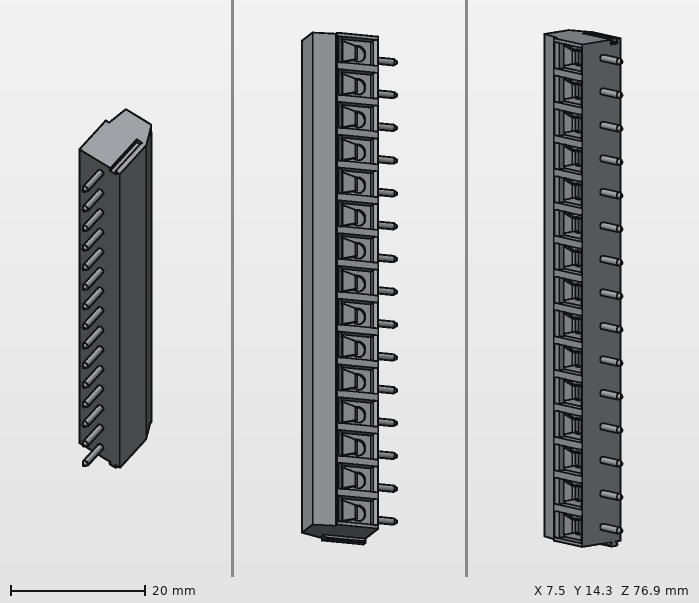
import cadquery as cq
import math

overall_length = 76.9
pole_count = 15
block_width = 7.5
overall_depth = 14.3
block_depth = 10.0

rib_height = 0.66
rib_widest_height = 0.45
rib_neck_width = 0.9
rib_widest_width = 1.4
rib_tip_width = 1.0
rib_offset_x = 2.45
groove_clearance = 0.1

shoulder_drop = 3.45
ledge_width = 0.6
wire_side_setback = 1.15
screw_side_setback = 1.6

ridge_height = 0.2
ridge_start_drop = 0.2
ridge_crest_drop = 0.8
ridge_end_drop = 1.7
ridge_end_gap = 0.6

pocket_height = 4.0
pocket_mouth_depth_y = 6.2
pocket_base_gap = 0.1
bevel_width = 0.6
bevel_angle = 30.0
pocket_wall_depth = 1.1

wire_hole_radius = 1.2
wire_hole_depth = 0.4
wire_hole_from_base = 2.8
wedge_rise = 0.5
wedge_back_slope_width = 0.4
wedge_front_slope_width = 0.45
wedge_length = 2.8
wedge_back_height = 3.15
wedge_front_height = 1.85

pin_radius = 0.5
pin_tip_radius = 0.19
pin_tip_length = 0.5
pin_offset_x = 0.2

half_width = block_width / 2
block_top_y = overall_depth / 2
block_base_y = block_top_y - block_depth
pin_end_y = -overall_depth / 2
shoulder_y = block_top_y - shoulder_drop
end_top_z = overall_length / 2
end_bottom_z = -overall_length / 2 + rib_height
block_length = end_top_z - end_bottom_z
pitch = block_length / pole_count
pole_centres = [end_bottom_z + (i + 0.5) * pitch for i in range(pole_count)]

bevel_depth = bevel_width * math.tan(math.radians(bevel_angle))
pocket_low_y = block_base_y + pocket_base_gap
pocket_high_y = pocket_low_y + pocket_mouth_depth_y
bevel_x = -half_width + bevel_depth
floor_x = bevel_x + pocket_wall_depth
wire_hole_y = block_base_y + wire_hole_from_base


def housing():
    """Prism with a narrowed upper part and a ledge on the wire side."""
    outline = [
        (-half_width, block_base_y),
        (half_width, block_base_y),
        (half_width, shoulder_y),
        (half_width - screw_side_setback, block_top_y),
        (-half_width + wire_side_setback, block_top_y),
        (-half_width + ledge_width, shoulder_y),
        (-half_width, shoulder_y),
    ]
    return (
        cq.Workplane("XY")
        .workplane(offset=end_bottom_z)
        .polyline(outline)
        .close()
        .extrude(block_length)
    )


def ridge():
    """Low triangular ridge on the +X slope, stopping short of both ends."""
    slope = screw_side_setback / shoulder_drop

    def slope_point(drop, height):
        return (half_width - screw_side_setback + slope * drop + height, block_top_y - drop)

    outline = [
        slope_point(ridge_start_drop, 0),
        slope_point(ridge_crest_drop, ridge_height),
        slope_point(ridge_end_drop, 0),
    ]
    return (
        cq.Workplane("XY")
        .workplane(offset=end_bottom_z + ridge_end_gap)
        .polyline(outline)
        .close()
        .extrude(block_length - 2 * ridge_end_gap)
    )


def dovetail(end_z, clearance):
    """Dovetail bar hanging below end_z, from the block base up to the shoulder."""
    neck = rib_neck_width / 2
    widest = rib_widest_width / 2
    tip = rib_tip_width / 2
    widest_z = end_z - rib_widest_height - clearance
    tip_z = end_z - rib_height - clearance
    outline = [
        (rib_offset_x - neck, end_z),
        (rib_offset_x - widest, widest_z),
        (rib_offset_x - tip, tip_z),
        (rib_offset_x + tip, tip_z),
        (rib_offset_x + widest, widest_z),
        (rib_offset_x + neck, end_z),
    ]
    return (
        cq.Workplane("XZ", origin=(0, shoulder_y, 0))
        .polyline(outline)
        .close()
        .extrude(shoulder_y - block_base_y)
    )


def pocket(z):
    """Pocket with bevelled upper and lower lips and the round wire hole in its floor."""
    outline = [
        (-half_width, pocket_low_y),
        (bevel_x, pocket_low_y + bevel_width),
        (floor_x, pocket_low_y + bevel_width),
        (floor_x, pocket_high_y - bevel_width),
        (bevel_x, pocket_high_y - bevel_width),
        (-half_width, pocket_high_y),
    ]
    recess = (
        cq.Workplane("XY")
        .workplane(offset=z - pocket_height / 2)
        .polyline(outline)
        .close()
        .extrude(pocket_height)
    )
    hole = (
        cq.Workplane("YZ", origin=(floor_x, wire_hole_y, z))
        .circle(wire_hole_radius)
        .extrude(wire_hole_depth)
    )
    return recess.union(hole)


def wedge(z):
    """Clamp wedge standing on the pocket floor and reaching over the wire hole."""
    back_y = pocket_high_y - bevel_width
    front_y = back_y - wedge_length
    top_x = floor_x - wedge_rise
    front_drop = wedge_front_slope_width * math.tan(math.radians(bevel_angle))
    root_x = floor_x + wire_hole_depth
    side_profile = [
        (root_x, back_y),
        (floor_x, back_y),
        (top_x, back_y - wedge_back_slope_width),
        (top_x, front_y + wedge_front_slope_width),
        (top_x + front_drop, front_y),
        (root_x, front_y),
    ]
    prism = (
        cq.Workplane("XY")
        .workplane(offset=z - wedge_back_height / 2)
        .polyline(side_profile)
        .close()
        .extrude(wedge_back_height)
    )
    plan_outline = [
        (back_y, -wedge_back_height / 2),
        (back_y - wedge_back_slope_width, -wedge_back_height / 2),
        (front_y, -wedge_front_height / 2),
        (front_y, wedge_front_height / 2),
        (back_y - wedge_back_slope_width, wedge_back_height / 2),
        (back_y, wedge_back_height / 2),
    ]
    plan = (
        cq.Workplane("YZ", origin=(top_x, 0, z))
        .polyline(plan_outline)
        .close()
        .extrude(root_x - top_x)
    )
    return prism.intersect(plan)


def pin(z):
    """Round solder pin with a tapered tip."""
    profile = [
        (0, block_base_y),
        (pin_radius, block_base_y),
        (pin_radius, pin_end_y + pin_tip_length),
        (pin_tip_radius, pin_end_y),
        (0, pin_end_y),
    ]
    return (
        cq.Workplane("XY", origin=(pin_offset_x, 0, z))
        .polyline(profile)
        .close()
        .revolve(360, (0, 0, 0), (0, 1, 0))
    )


result = housing().union(ridge())
result = result.cut(dovetail(end_top_z, groove_clearance))
result = result.union(dovetail(end_bottom_z, 0))
for level in pole_centres:
    result = result.cut(pocket(level)).union(wedge(level)).union(pin(level))